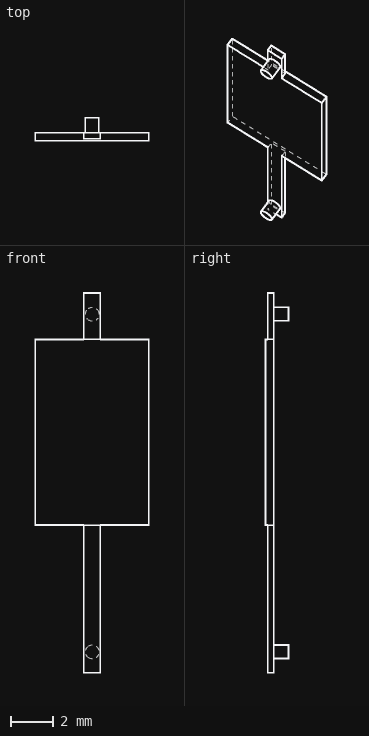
import cadquery as cq

total_length = 18.0
plate_width = 5.4
plate_height = 8.8
plate_thickness = 0.4
plate_bottom = 7.0

strip_width = 0.8
strip_thickness = 0.3

pin_diameter = 0.65
pin_length = 0.7
pin_end_distance = 1.0


def front_block(width, thickness, height, bottom):
    """Block centred on X, rising from Z = bottom, with its back face on Y = 0."""
    block = cq.Workplane("XY").box(width, thickness, height, centered=(True, False, False))
    return block.translate((0, -thickness, bottom))


def back_pin(height):
    """Round pin standing on the back face along +Y, with its axis at Z = height."""
    pin_root = strip_thickness / 2
    pin = (
        cq.Workplane("XZ", origin=(0, -pin_root, height))
        .circle(pin_diameter / 2)
        .extrude(-(pin_length + pin_root))
    )
    return pin


strip = front_block(strip_width, strip_thickness, total_length, 0)
plate = front_block(plate_width, plate_thickness, plate_height, plate_bottom)
result = strip.union(plate)

for pin_height in (pin_end_distance, total_length - pin_end_distance):
    result = result.union(back_pin(pin_height))